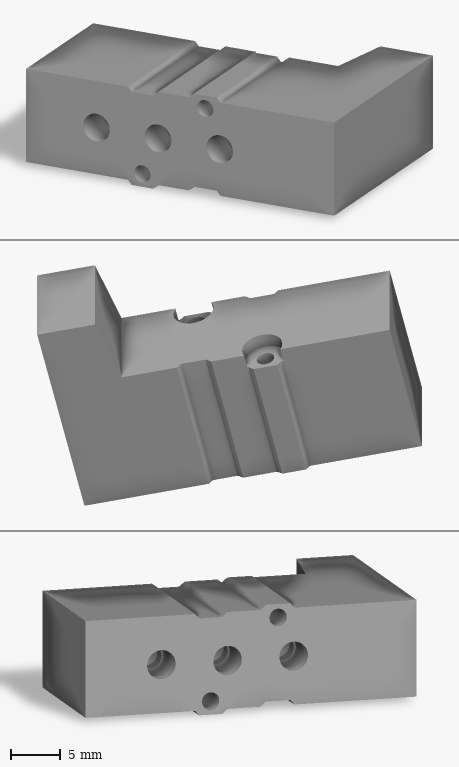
import cadquery as cq

body_length = 34.9
body_depth = 15.0
total_depth = 22.1
total_height = 11.0
rib_height = 0.5
body_height = total_height - 2 * rib_height

arm_root_width = 7.15
arm_tip_width = 5.97

fixing_hole_x = (13.2, 20.3)
fixing_hole_diameter = 1.8
fixing_hole_z = (body_height - fixing_hole_diameter) / 2

strip_flat_widths = (2.45, 2.6)
inner_flank_run = 0.55
outer_flank_run = 0.42
groove_depth = rib_height

seat_diameter = 4.15
seat_depth = 1.5

middle_port_x = 14.97
port_spacing = 6.98
port_mouth_diameter = 3.0
port_mouth_depth = 4.2
port_drill_diameter = 2.5
port_drill_depth = 5.6
port_tip_depth = 0.75


def make_block():
    """Body and arm as one plan outline, extruded to the body height."""
    outline = [
        (0, 0),
        (body_length, 0),
        (body_length, total_depth),
        (body_length - arm_tip_width, total_depth),
        (body_length - arm_root_width, body_depth),
        (0, body_depth),
    ]
    return (
        cq.Workplane("XY", origin=(0, 0, -body_height / 2))
        .polyline(outline)
        .close()
        .extrude(body_height)
    )


def make_strip(center_x, flat_width, base_z, rise, outward):
    """Trapezoidal strip along Y; a negative rise points down, outward is the X sign of the outer side."""
    inner_flat_x = center_x - outward * flat_width / 2
    outer_flat_x = center_x + outward * flat_width / 2
    outline = [
        (inner_flat_x - outward * inner_flank_run, base_z),
        (outer_flat_x + outward * outer_flank_run, base_z),
        (outer_flat_x, base_z + rise),
        (inner_flat_x, base_z + rise),
    ]
    return cq.Workplane("XZ").polyline(outline).close().extrude(-body_depth)


def make_cylinder(x, z, diameter, start_y, depth):
    """Cylinder along +Y."""
    return (
        cq.Workplane("XZ", origin=(x, start_y, z))
        .circle(diameter / 2)
        .extrude(-depth)
    )


def make_port(x):
    """Stepped bore with a conical drill tip, entering from the front face."""
    mouth_radius = port_mouth_diameter / 2
    drill_radius = port_drill_diameter / 2
    half_section = [
        (x, 0),
        (x + mouth_radius, 0),
        (x + mouth_radius, port_mouth_depth),
        (x + drill_radius, port_mouth_depth),
        (x + drill_radius, port_drill_depth),
        (x, port_drill_depth + port_tip_depth),
    ]
    return (
        cq.Workplane("XY")
        .polyline(half_section)
        .close()
        .revolve(360, (x, 0, 0), (x, 1, 0))
    )


result = make_block()

for hole_x, flat_width, side in zip(fixing_hole_x, strip_flat_widths, (-1, 1)):
    face_z = side * body_height / 2
    hole_z = side * fixing_hole_z
    rib = make_strip(hole_x, flat_width, face_z, side * rib_height, side)
    groove = make_strip(hole_x, flat_width, -face_z, side * groove_depth, side)
    hole = make_cylinder(hole_x, hole_z, fixing_hole_diameter, 0, body_depth)
    seat = make_cylinder(hole_x, hole_z, seat_diameter, body_depth - seat_depth, seat_depth)
    result = result.union(rib).cut(groove).cut(hole).cut(seat)

for port_step in (-1, 0, 1):
    result = result.cut(make_port(middle_port_x + port_step * port_spacing))